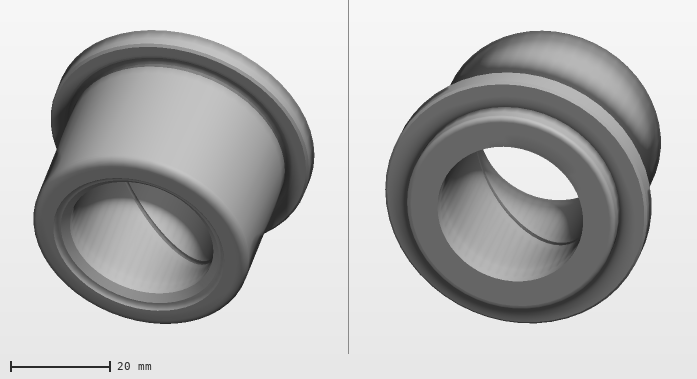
import cadquery as cq
import math


total_length = 40.0
flange_radius = 27.0
flange_width = 5.0
collar_radius = 21.5
collar_length = 5.0
collar_fillet = 1.0
body_radius = 22.5
body_fillet = 2.0
edge_chamfer = 0.5

undercut_radius = 22.05
undercut_width = 0.95
recess_radius = 24.0
recess_depth = 0.1
recess_step = 0.5
undercut_arc_radius = 1.0
undercut_arc_offset = 0.1

bore_radius = 15.0
lead_in_radius = 16.5
lead_in_depth = 2.05
mouth_radius = 17.9
mouth_fillet = 1.9
mouth_depth = 0.8

oil_groove_y = -1.5
oil_groove_rise = 13.5
oil_groove_radius = 0.5

rear = total_length / 2
front = -rear
flange_rear = rear - collar_length
flange_front = flange_rear - flange_width
body_rear = flange_front - undercut_width


def make_outside():
    """Solid of revolution with collar, chamfered flange, undercut and body."""
    profile = (
        cq.Workplane("XY")
        .moveTo(0, front)
        .lineTo(body_radius - body_fillet, front)
        .radiusArc((body_radius, front + body_fillet), -body_fillet)
        .lineTo(body_radius, body_rear - edge_chamfer)
        .lineTo(undercut_radius, body_rear)
        .lineTo(undercut_radius, flange_front - undercut_arc_offset)
        .radiusArc(
            (recess_radius - recess_step, flange_front + recess_depth),
            undercut_arc_radius,
        )
        .lineTo(recess_radius, flange_front)
        .lineTo(flange_radius - edge_chamfer, flange_front)
        .lineTo(flange_radius, flange_front + edge_chamfer)
        .lineTo(flange_radius, flange_rear - edge_chamfer)
        .lineTo(flange_radius - edge_chamfer, flange_rear)
        .lineTo(collar_radius, flange_rear)
        .lineTo(collar_radius, rear - collar_fillet)
        .radiusArc((collar_radius - collar_fillet, rear), -collar_fillet)
        .lineTo(0, rear)
        .close()
    )
    return profile.revolve(360, (0, 0, 0), (0, 1, 0))


def make_bore():
    """Through bore with a rounded, tapered mouth at the front end."""
    profile = (
        cq.Workplane("XY")
        .moveTo(0, front)
        .lineTo(mouth_radius, front)
        .radiusArc((lead_in_radius, front + mouth_depth), -mouth_fillet)
        .lineTo(bore_radius, front + lead_in_depth)
        .lineTo(bore_radius, rear)
        .lineTo(0, rear)
        .close()
    )
    return profile.revolve(360, (0, 0, 0), (0, 1, 0))


def make_oil_groove():
    """Round-bottomed groove along the ellipse where a tilted plane cuts the bore."""
    center = (0, oil_groove_y, 0)
    long_axis = (bore_radius, -oil_groove_rise, 0)
    plane_normal = (oil_groove_rise, bore_radius, 0)
    half_length = math.hypot(bore_radius, oil_groove_rise)
    path = cq.Workplane(cq.Plane(center, long_axis, plane_normal)).ellipse(half_length, bore_radius)

    start = (bore_radius, oil_groove_y - oil_groove_rise, 0)
    section = cq.Workplane(cq.Plane(start, long_axis, (0, 0, -1))).circle(oil_groove_radius)
    return section.sweep(path)


result = make_outside().cut(make_bore()).cut(make_oil_groove())